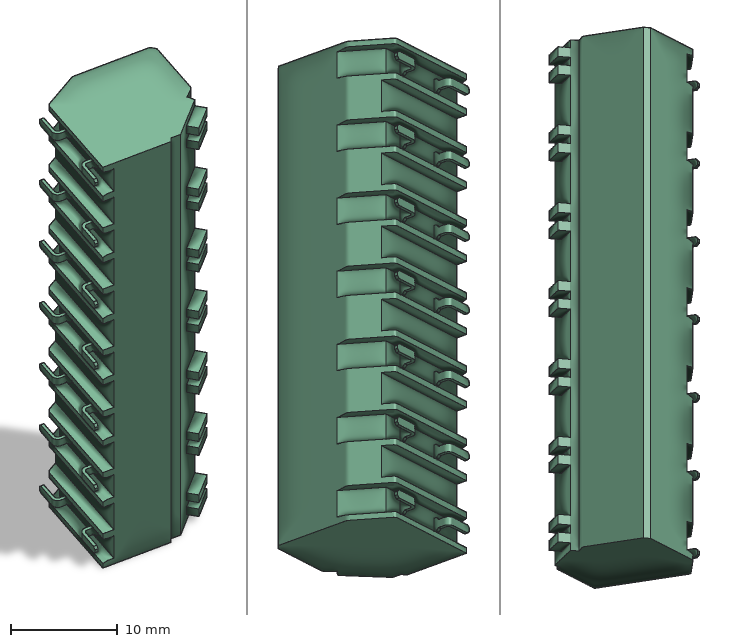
import cadquery as cq
import math

height = 49.9
width = 12.7
depth = 12.9

back_left_chamfer = 0.5
back_edge_end_x = 7.0
notch_bottom = (7.9, 11.9)
slope_start = (8.6, 12.35)
slope_end_x = 12.25
step_bottom_y = 7.65
side_top_y = 7.4
slant_top_y = 4.0
slant_angle = 31
slant_slope = math.tan(math.radians(slant_angle))
slant_front_x = slant_top_y * slant_slope
slant_top_radius = 0.9
slant_front_radius = 0.5
notch_top_radius = 0.5

pole_count = 7
pole_pitch = 7.62
first_pole_z = (height - (pole_count - 1) * pole_pitch) / 2

recess_depth = 1.2
recess_top_y = 5.2
pole_recess_height = 2.75
mouth_flare = 0.15
mouth_depth = 0.5
pole_mouth_height = pole_recess_height + 2 * mouth_flare
flange_thickness = 0.65
gap_recess_height = pole_pitch - pole_mouth_height - 2 * flange_thickness

pin_thickness = 0.35
pin_width = 0.85
pin_front_y = -0.65
pin_length = 2.95
pin_bend_radius = 0.65
left_blade_x = 4.8
right_blade_x = 9.4
tip_chamfer = 0.25
shoulder_width = 1.45
shoulder_y = 0.95
taper_end_y = shoulder_y - (shoulder_width - pin_width) / 2
pin_embed = 0.5

prong_length = 3.0
prong_rise = 1.2
prong_thickness = 0.95
prong_gap = 0.8


def make_housing():
    slope_end = (slope_end_x, slope_start[1] - (slope_end_x - slope_start[0]))
    outline = [
        (slant_front_x, 0),
        (width, 0),
        (width, side_top_y),
        (slope_end_x, step_bottom_y),
        slope_end,
        slope_start,
        notch_bottom,
        (back_edge_end_x, depth),
        (back_left_chamfer, depth),
        (0, depth - back_left_chamfer),
        (0, slant_top_y),
    ]
    housing = cq.Workplane("XY").polyline(outline).close().extrude(height)

    def round_corner(body, point, radius):
        selector = cq.selectors.NearestToPointSelector((*point, height / 2))
        return body.edges("|Z").edges(selector).fillet(radius)

    housing = round_corner(housing, (0, slant_top_y), slant_top_radius)
    housing = round_corner(housing, (slant_front_x, 0), slant_front_radius)
    return round_corner(housing, (back_edge_end_x, depth), notch_top_radius)


def make_pole_recess(z):
    """Pocket whose floor follows both the slanted corner and the front."""
    floor_start_x = (recess_top_y - recess_depth) * slant_slope
    return (
        cq.Workplane("XY", origin=(0, 0, z))
        .polyline([
            (0, 0),
            (width, 0),
            (width, recess_depth),
            (floor_start_x, recess_depth),
            (0, recess_top_y),
        ])
        .close()
        .extrude(pole_recess_height / 2, both=True)
    )


def make_mouth_flare(z, edge_point, inward):
    """Wedge that flares a pole recess towards the outer face through edge_point."""
    along_face = (inward[1], -inward[0], 0)
    plane = cq.Plane(origin=(*edge_point, z), xDir=(*inward, 0), normal=along_face)
    return (
        cq.Workplane(plane)
        .polyline([
            (0, -pole_mouth_height / 2),
            (0, pole_mouth_height / 2),
            (mouth_depth, pole_recess_height / 2),
            (mouth_depth, -pole_recess_height / 2),
        ])
        .close()
        .extrude(width, both=True)
    )


def make_gap_recess(z):
    """Straight slot across the front between two poles."""
    return cq.Workplane("XY").box(
        width, recess_depth, gap_recess_height, centered=(False, False, True)
    ).translate((0, 0, z))


def make_pin(blade_x, z, direction):
    """Pin with the back of its blade at blade_x and its foot pointing along direction."""
    root_y = recess_depth + pin_embed
    foot_top_y = pin_front_y + pin_thickness
    inner_radius = pin_bend_radius - pin_thickness
    arc_offset = pin_bend_radius * (1 - math.sqrt(0.5))
    inner_arc_offset = pin_thickness + inner_radius * (1 - math.sqrt(0.5))
    strip = (
        cq.Workplane("XY")
        .moveTo(0, root_y)
        .lineTo(0, pin_front_y + pin_bend_radius)
        .threePointArc((arc_offset, pin_front_y + arc_offset), (pin_bend_radius, pin_front_y))
        .lineTo(pin_length, pin_front_y)
        .lineTo(pin_length, foot_top_y)
        .lineTo(pin_bend_radius, foot_top_y)
        .threePointArc(
            (inner_arc_offset, pin_front_y + inner_arc_offset),
            (pin_thickness, pin_front_y + pin_bend_radius),
        )
        .lineTo(pin_thickness, root_y)
        .close()
        .extrude(pin_width / 2, both=True)
        .faces(">X").edges("|Y").chamfer(tip_chamfer)
    )
    shoulders = (
        cq.Workplane("YZ")
        .polyline([
            (root_y, -shoulder_width / 2),
            (root_y, shoulder_width / 2),
            (shoulder_y, shoulder_width / 2),
            (taper_end_y, pin_width / 2),
            (taper_end_y, -pin_width / 2),
            (shoulder_y, -shoulder_width / 2),
        ])
        .close()
        .extrude(pin_thickness)
    )
    pin = strip.union(shoulders)
    if direction < 0:
        pin = pin.mirror("YZ")
    return pin.translate((blade_x, 0, z))


def make_prong(z):
    """Flat block standing square on the 45 degree slope."""
    return (
        cq.Workplane("XY")
        .box(prong_length, prong_rise, prong_thickness, centered=(False, False, True))
        .rotate((0, 0, 0), (0, 0, 1), -45)
        .translate((*slope_start, z))
    )


pole_heights = [first_pole_z + i * pole_pitch for i in range(pole_count)]
front_corner = (slant_front_x, 0)
front_inward = (0, 1)
slant_inward = (1, slant_slope)

result = make_housing()
for pole_z in pole_heights:
    result = result.cut(make_pole_recess(pole_z))
    result = result.cut(make_mouth_flare(pole_z, front_corner, front_inward))
    result = result.cut(make_mouth_flare(pole_z, front_corner, slant_inward))
for pole_z in pole_heights[:-1]:
    result = result.cut(make_gap_recess(pole_z + pole_pitch / 2))
for pole_z in pole_heights:
    result = result.union(make_pin(left_blade_x, pole_z, -1))
    result = result.union(make_pin(right_blade_x, pole_z, 1))
    for side in (-1, 1):
        result = result.union(make_prong(pole_z + side * (prong_gap + prong_thickness) / 2))